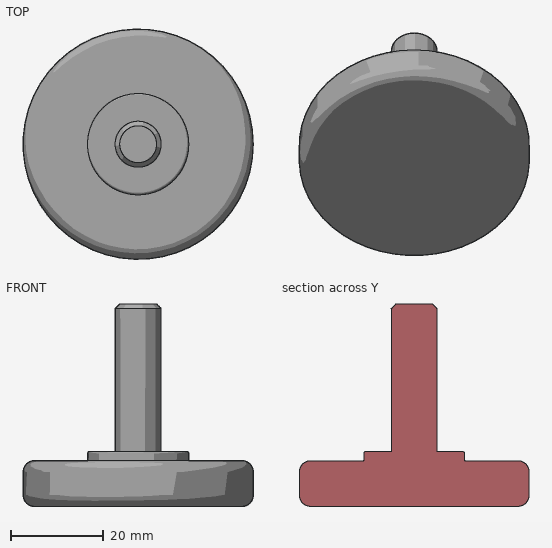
import cadquery as cq

pad_diameter = 50
pad_height = 10
pad_edge_radius = 2.5

collar_diameter = 22
collar_height = 2
collar_edge_radius = 0.5

stud_diameter = 10
stud_chamfer = 1
total_height = 44

collar_top = pad_height + collar_height
stud_length = total_height - collar_top


def disc(diameter, height, bottom):
    """Solid cylinder on the Z axis, standing at the given height."""
    return cq.Workplane("XY").workplane(offset=bottom).circle(diameter / 2).extrude(height)


pad = disc(pad_diameter, pad_height, 0).edges().fillet(pad_edge_radius)

collar = disc(collar_diameter, collar_height, pad_height).faces(">Z").edges().fillet(collar_edge_radius)
stud = disc(stud_diameter, stud_length, collar_top).faces(">Z").edges().chamfer(stud_chamfer)

result = pad.union(collar).union(stud)